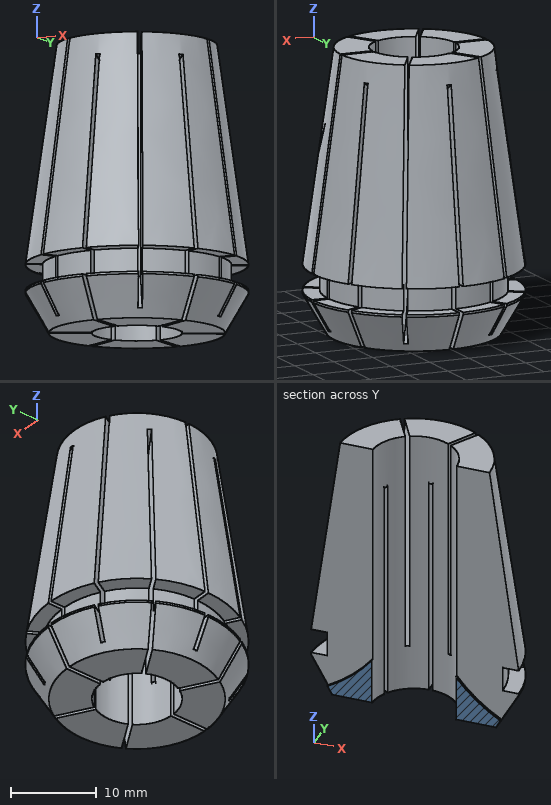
import cadquery as cq
import math

length = 34.0
outer_diameter = 26.0
bore_diameter = 10.5
groove_diameter = 22.0
taper_angle = 8.0
nose_angle = 30.0
nose_height = 4.73
flange_top = 5.0
groove_top = 8.1

slits_per_end = 6
slit_width = 0.5
saw_radius = 18.7
cut_clearance = 0.35

top_slit_end_outside = 1.05
top_slit_end_at_bore = 5.78
bottom_slit_end_outside = 31.52
bottom_slit_end_at_bore = 27.78

outer_radius = outer_diameter / 2
bore_radius = bore_diameter / 2
groove_radius = groove_diameter / 2
taper_slope = math.tan(math.radians(taper_angle))
nose_slope = math.tan(math.radians(nose_angle))


def taper_radius(height):
    """Outer radius of the locating taper at a height."""
    return outer_radius - (height - groove_top) * taper_slope


def nose_radius(height):
    """Outer radius of the clamping nose at a height."""
    return outer_radius - (nose_height - height) * nose_slope


def collet_body():
    """Turned body with its bore, before slitting."""
    profile = [
        (bore_radius, 0),
        (nose_radius(0), 0),
        (outer_radius, nose_height),
        (outer_radius, flange_top),
        (groove_radius, flange_top),
        (groove_radius, groove_top),
        (outer_radius, groove_top),
        (taper_radius(length), length),
        (bore_radius, length),
    ]
    return cq.Workplane("XZ").polyline(profile).close().revolve(360, (0, 0), (0, 1))


def slit_cutter(bore_end, outer_end, open_height):
    """Radial slit cutter along +X, running from open_height to an arc left by a round saw.

    bore_end and outer_end are the (radius, height) ends of that arc.
    """
    run = outer_end[0] - bore_end[0]
    rise = outer_end[1] - bore_end[1]
    chord = math.hypot(run, rise)
    arc_depth = saw_radius - math.sqrt(saw_radius**2 - (chord / 2) ** 2)
    away_from_opening = math.copysign(arc_depth, bore_end[1] - open_height)
    arc_middle = (
        (bore_end[0] + outer_end[0]) / 2 - away_from_opening * rise / chord,
        (bore_end[1] + outer_end[1]) / 2 + away_from_opening * run / chord,
    )
    cutter_reach = outer_radius + cut_clearance
    return (
        cq.Workplane("XZ")
        .moveTo(*bore_end)
        .threePointArc(arc_middle, outer_end)
        .lineTo(cutter_reach, outer_end[1])
        .lineTo(cutter_reach, open_height)
        .lineTo(0, open_height)
        .lineTo(0, bore_end[1])
        .close()
        .extrude(slit_width / 2, both=True)
    )


def cut_around(body, cutter, first_angle):
    """Cut one end's slits, evenly spaced about the axis."""
    for index in range(slits_per_end):
        angle = first_angle + index * 360 / slits_per_end
        body = body.cut(cutter.rotate((0, 0, 0), (0, 0, 1), angle))
    return body


top_slit = slit_cutter(
    bore_end=(bore_radius, top_slit_end_at_bore),
    outer_end=(nose_radius(top_slit_end_outside), top_slit_end_outside),
    open_height=length + cut_clearance,
)
bottom_slit = slit_cutter(
    bore_end=(bore_radius, bottom_slit_end_at_bore),
    outer_end=(taper_radius(bottom_slit_end_outside), bottom_slit_end_outside),
    open_height=-cut_clearance,
)

result = collet_body()
result = cut_around(result, top_slit, first_angle=0)
result = cut_around(result, bottom_slit, first_angle=180 / slits_per_end)